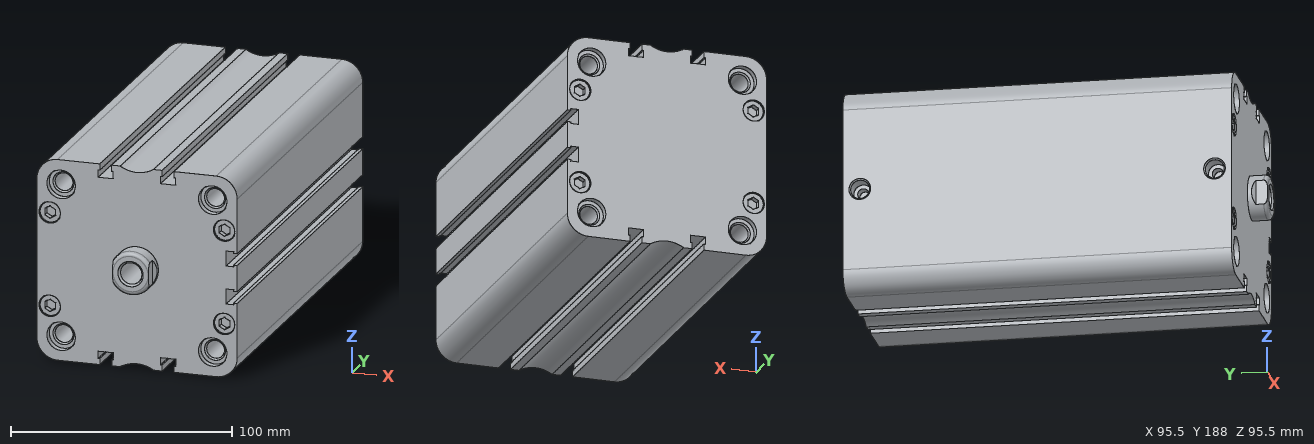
import cadquery as cq
import math


total_length = 188
side = 95.5
half_side = side / 2
rod_length = 9.0
corner_radius = 10.0
tip_y = -total_length / 2
front_y = tip_y + rod_length
rear_y = total_length / 2
body_length = rear_y - front_y

top_slot_offset = 14.9
side_slot_offset = 9.0
slot_neck_width = 5.6
slot_wide_width = 7.1
slot_depth = 6.4
top_neck_depth = 3.0
side_slot_depth = 5.3
side_neck_depth = 1.7

hollow_half_width = 7.9
hollow_depth = 2.3

mount_offset = 36.1
mount_bore = 8.5
mount_chamfer_diameter = 10.0
mount_counterbore = 13.5
mount_counterbore_depth = 3.4

screw_x = 41.5
screw_z = 22.2
screw_recess_diameter = 10.2
screw_head_diameter = 9.8
screw_groove_depth = 0.8
screw_recess_depth = 0.5
socket_flats = 5.0
socket_depth = 3.0

port_end_distance = 7.9
port_mouth_diameter = 10.0
port_bore = 8.6
port_depth = 8.0
port_passage_diameter = 5.0
port_passage_depth = 13.2

rod_diameter = 20.5
rod_edge_radius = 1.9
rod_flats = 17.1
rod_flat_length = 5.5
rod_thread_bore = 10.2
rod_thread_mouth = 12.0
rod_thread_depth = 22.5


def plane_facing_front(y):
    """XZ plane at the given Y; extrusion runs toward +Y."""
    return cq.Plane(origin=(0, y, 0), xDir=(1, 0, 0), normal=(0, -1, 0))


def chamfered_bore(bore, mouth, depth):
    """Cutter for a bore along +Z from the origin with a 45 degree mouth."""
    mouth_depth = (mouth - bore) / 2
    return (
        cq.Workplane("XZ")
        .polyline([
            (0, 0), (mouth / 2, 0), (bore / 2, mouth_depth), (bore / 2, depth), (0, depth),
        ])
        .close()
        .revolve(360, (0, 0), (0, 1))
    )


def point_rearward(cutter):
    """Turn a cutter from +Z to +Y."""
    return cutter.rotate((0, 0, 0), (1, 0, 0), -90)


def slot_cutter(neck_depth, depth):
    """T-slot along the whole body, open at the +Z face, centred on X = 0."""
    neck = cq.Workplane("XY").box(slot_neck_width, body_length, depth, centered=(True, False, False))
    wide = cq.Workplane("XY").box(
        slot_wide_width, body_length, depth - neck_depth, centered=(True, False, False)
    )
    return neck.union(wide).translate((0, front_y, half_side - depth))


def hollow_cutter():
    """Shallow circular hollow along the whole +Z face."""
    return (
        cq.Workplane(plane_facing_front(front_y))
        .moveTo(-hollow_half_width, half_side)
        .threePointArc((0, half_side - hollow_depth), (hollow_half_width, half_side))
        .close()
        .extrude(-body_length)
    )


def mount_cutter():
    """Counterbored, chamfered hole from the front face to the middle of the body."""
    half_length = body_length / 2
    counterbore = cq.Workplane("XY").circle(mount_counterbore / 2).extrude(mount_counterbore_depth)
    bore = chamfered_bore(mount_bore, mount_chamfer_diameter, half_length - mount_counterbore_depth)
    return point_rearward(counterbore.union(bore.translate((0, 0, mount_counterbore_depth))))


def screw_cutter():
    """Clearance around a sunk screw head, plus its hexagon socket."""
    recess = cq.Workplane("XY").circle(screw_recess_diameter / 2).extrude(
        screw_recess_depth + screw_groove_depth
    )
    head = (
        cq.Workplane("XY", origin=(0, 0, screw_recess_depth))
        .circle(screw_head_diameter / 2)
        .extrude(screw_groove_depth)
    )
    socket_corners = socket_flats / math.cos(math.pi / 6)
    socket = (
        cq.Workplane("XY")
        .polygon(6, socket_corners)
        .extrude(screw_recess_depth + socket_depth)
        .rotate((0, 0, 0), (0, 0, 1), 30)
    )
    return point_rearward(recess.cut(head).union(socket))


def port_cutter():
    """Chamfered port with a narrower passage beyond it, pointing to +X."""
    passage = cq.Workplane("XY").circle(port_passage_diameter / 2).extrude(port_passage_depth)
    port = chamfered_bore(port_bore, port_mouth_diameter, port_depth).union(passage)
    return port.rotate((0, 0, 0), (0, 1, 0), 90)


def piston_rod():
    """Rod end with a rounded edge and two wrench flats that run out at 45 degrees."""
    rod = (
        cq.Workplane(plane_facing_front(tip_y))
        .circle(rod_diameter / 2)
        .extrude(-rod_length)
        .faces("<Y")
        .edges()
        .fillet(rod_edge_radius)
    )
    flat_x = rod_flats / 2
    rod_radius = rod_diameter / 2
    runout = rod_radius - flat_x
    flat_end_y = tip_y + rod_flat_length
    flat = (
        cq.Workplane("XY", origin=(0, 0, -rod_radius))
        .polyline([
            (flat_x, tip_y), (flat_x, flat_end_y), (rod_radius, flat_end_y + runout), (rod_radius, tip_y),
        ])
        .close()
        .extrude(rod_diameter)
    )
    return rod.cut(flat).cut(flat.mirror("YZ"))


body = (
    cq.Workplane(plane_facing_front(front_y))
    .rect(side, side)
    .extrude(-body_length)
    .edges("|Y")
    .fillet(corner_radius)
)
top_slot = slot_cutter(top_neck_depth, slot_depth)
side_slot = slot_cutter(side_neck_depth, side_slot_depth).rotate((0, 0, 0), (0, 1, 0), 90)
hollow = hollow_cutter()
for sign in (-1, 1):
    slot = top_slot.translate((sign * top_slot_offset, 0, 0))
    body = body.cut(slot).cut(slot.mirror("XY"))
    body = body.cut(side_slot.translate((0, 0, sign * side_slot_offset)))
body = body.cut(hollow).cut(hollow.mirror("XY"))

middle_y = (front_y + rear_y) / 2
for x_sign in (-1, 1):
    for z_sign in (-1, 1):
        mount = mount_cutter().translate((x_sign * mount_offset, front_y, z_sign * mount_offset))
        screw = screw_cutter().translate((x_sign * screw_x, front_y, z_sign * screw_z))
        for cutter in (mount, screw):
            body = body.cut(cutter).cut(cutter.mirror("XZ", (0, middle_y, 0)))

for port_y in (front_y + port_end_distance, rear_y - port_end_distance):
    body = body.cut(port_cutter().translate((-half_side, port_y, 0)))

rod_bore = point_rearward(chamfered_bore(rod_thread_bore, rod_thread_mouth, rod_thread_depth))
result = body.union(piston_rod()).cut(rod_bore.translate((0, tip_y, 0)))